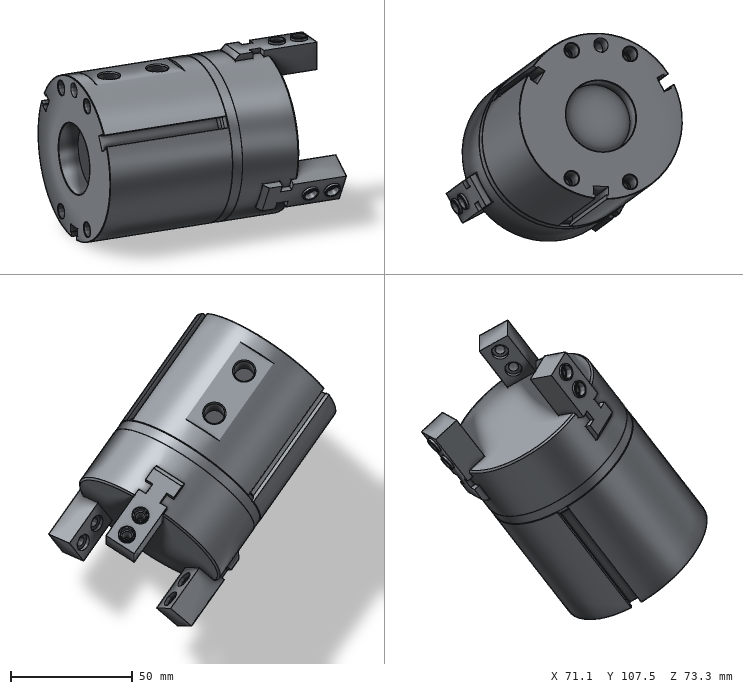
import cadquery as cq
import math

JAW_COUNT = 3
JAW_STEP_ANGLE = 360 / JAW_COUNT

body_radius = 35.0
barrel_length = 56.0
band_end_y = 60.4
band_radius = 69.8 / 2
body_length = 86.4
barrel_chamfer = 0.25
front_chamfer = 0.8

bore_diameter = 30.0
bore_depth = 9.0
bore_chamfer = 0.25
screw_diameter = 6.0
screw_mouth_diameter = 6.6
screw_depth = 10.0
screw_drill_diameter = 5.0
screw_drill_depth = 12.0
screw_offset_x = 12.5
screw_offset_z = 27.0
pin_diameter = 6.0
pin_depth = 8.0
pin_offset_z = 30.0
drill_point_angle = 118.0

pad_z = 34.0
pad_start_y = 6.5
pad_end_y = 46.7
port_diameter = 8.57
port_mouth_diameter = 9.6
port_depth = 10.0
port_positions_y = (16.0, 38.0)

slot_floor_radius = 29.6
slot_lip_radius = 33.0
slot_width = 6.5
slot_neck_width = 5.0
slot_end_gap = 2.5
slot_ramp = 0.8
slot_overcut = 1.0

jaw_tip_y = 107.5
jaw_length = 37.2
jaw_width = 14.0
jaw_bottom_radius = 25.0
jaw_top_radius = 37.0
jaw_neck_width = 7.0
jaw_neck_start = 24.2
jaw_neck_end = 29.2
jaw_chamfer = 2.1
jaw_hole_diameter = 4.13
seat_depth = 1.7
sleeve_spots = (5.0, 15.0)

sleeve_diameter = 7.0
sleeve_bore = 5.4
sleeve_chamfer = 0.25
sleeve_stand_out = 1.3


def box(x_min, x_max, y_min, y_max, z_min, z_max):
    size = (x_max - x_min, y_max - y_min, z_max - z_min)
    return cq.Workplane("XY").box(*size, centered=False).translate((x_min, y_min, z_min))


def around_axis(shape, index):
    return shape.rotate((0, 0, 0), (0, 1, 0), index * JAW_STEP_ANGLE)


def revolved(profile):
    """Solid of revolution about Y from (radius, y) points."""
    return cq.Workplane("XY").polyline(profile).close().revolve(360, (0, 0, 0), (0, 1, 0))


def countersink(hole_diameter, mouth_diameter):
    """45 degree cone opening towards Y = 0."""
    hole_radius = hole_diameter / 2
    mouth_radius = mouth_diameter / 2
    depth = mouth_radius - hole_radius
    return revolved([(0, 0), (mouth_radius, 0), (hole_radius, depth), (0, depth)])


def plain_hole(diameter, depth):
    return revolved([(0, 0), (diameter / 2, 0), (diameter / 2, depth), (0, depth)])


def drilled_hole(diameter, depth):
    """Blind hole along +Y with a conical bottom."""
    radius = diameter / 2
    point_length = radius / math.tan(math.radians(drill_point_angle / 2))
    return revolved([(0, 0), (radius, 0), (radius, depth), (0, depth + point_length)])


def facing_up(hole):
    """Turn a hole along +Y so that it runs along +Z from Z = 0."""
    return hole.rotate((0, 0, 0), (1, 0, 0), 90)


def facing_down(hole):
    """Turn a hole along +Y so that it runs along -Z from Z = 0."""
    return hole.rotate((0, 0, 0), (1, 0, 0), -90)


def make_jaw_blank():
    """Top jaw with its necked foot, without holes."""
    half_width = jaw_width / 2
    half_neck = jaw_neck_width / 2
    tail_y = jaw_tip_y - jaw_length
    neck_front_y = jaw_tip_y - jaw_neck_start
    neck_rear_y = jaw_tip_y - jaw_neck_end
    blank = box(-half_width, half_width, tail_y, jaw_tip_y, jaw_bottom_radius, jaw_top_radius)
    blank = blank.faces("<Y").edges(">Z").chamfer(jaw_chamfer)
    for inner, outer in ((half_neck, half_width), (-half_width, -half_neck)):
        blank = blank.cut(box(inner, outer, neck_rear_y, neck_front_y, jaw_bottom_radius, jaw_top_radius))
    return blank


def make_jaw():
    """Jaw with a sleeve seat on both faces of each screw hole."""
    jaw = make_jaw_blank()
    screw_hole = plain_hole(jaw_hole_diameter, jaw_top_radius - jaw_bottom_radius)
    seat = plain_hole(sleeve_diameter, seat_depth)
    for spot in sleeve_spots:
        y = jaw_tip_y - spot
        jaw = jaw.cut(facing_down(screw_hole).translate((0, y, jaw_top_radius)))
        jaw = jaw.cut(facing_down(seat).translate((0, y, jaw_top_radius)))
        jaw = jaw.cut(facing_up(seat).translate((0, y, jaw_bottom_radius)))
    return jaw


def make_sleeve(spot):
    length = seat_depth + sleeve_stand_out
    sleeve = cq.Workplane("XY").circle(sleeve_diameter / 2).extrude(length)
    sleeve = sleeve.faces(">Z").edges().chamfer(sleeve_chamfer)
    sleeve = sleeve.cut(cq.Workplane("XY").circle(sleeve_bore / 2).extrude(length))
    return sleeve.translate((0, jaw_tip_y - spot, jaw_top_radius - seat_depth))


def make_sensor_slot():
    """T-slot at the bottom; the neck runs on past the slot end, which ramps up to it."""
    end_y = barrel_length - slot_end_gap
    half_neck = slot_neck_width / 2
    outside_z = -body_radius - slot_overcut
    neck_floor_z = -slot_lip_radius - slot_ramp
    wide = box(-slot_width / 2, slot_width / 2, 0, end_y, -slot_lip_radius, -slot_floor_radius)
    neck = (
        cq.Workplane("YZ")
        .polyline([
            (0, outside_z),
            (0, -slot_floor_radius),
            (end_y, -slot_floor_radius),
            (end_y, -slot_lip_radius),
            (end_y + slot_ramp, neck_floor_z),
            (barrel_length, neck_floor_z),
            (barrel_length, outside_z),
        ])
        .close()
        .extrude(half_neck, both=True)
    )
    return neck.union(wide)


def make_body_blank():
    """Round barrel, slightly slimmer band and head."""
    return revolved([
        (0, 0),
        (body_radius - barrel_chamfer, 0),
        (body_radius, barrel_chamfer),
        (body_radius, barrel_length - barrel_chamfer),
        (body_radius - barrel_chamfer, barrel_length),
        (band_radius, barrel_length),
        (band_radius, band_end_y),
        (body_radius, band_end_y),
        (body_radius, body_length - front_chamfer),
        (body_radius - front_chamfer, body_length),
        (0, body_length),
    ])


def cut_port_pad(body):
    body = body.cut(box(-body_radius, body_radius, pad_start_y, pad_end_y, pad_z, body_radius))
    port = plain_hole(port_diameter, port_depth)
    port_countersink = countersink(port_diameter, port_mouth_diameter)
    for y in port_positions_y:
        for cutter in (port, port_countersink):
            body = body.cut(facing_down(cutter).translate((0, y, pad_z)))
    return body


def cut_rear_holes(body):
    body = body.cut(plain_hole(bore_diameter, bore_depth))
    body = body.cut(countersink(bore_diameter, bore_diameter + 2 * bore_chamfer))
    screw_cutters = (
        drilled_hole(screw_drill_diameter, screw_drill_depth),
        plain_hole(screw_diameter, screw_depth),
        countersink(screw_diameter, screw_mouth_diameter),
    )
    for x in (-screw_offset_x, screw_offset_x):
        for z in (-screw_offset_z, screw_offset_z):
            for cutter in screw_cutters:
                body = body.cut(cutter.translate((x, 0, z)))
    return body.cut(drilled_hole(pin_diameter, pin_depth).translate((0, 0, pin_offset_z)))


def make_body():
    body = make_body_blank()
    body = cut_port_pad(body)
    body = cut_rear_holes(body)
    for index in range(JAW_COUNT):
        body = body.cut(around_axis(make_sensor_slot(), index))
        body = body.cut(around_axis(make_jaw_blank(), index))
    return body


body = make_body()
jaws = [around_axis(make_jaw(), index) for index in range(JAW_COUNT)]
sleeves = [
    around_axis(make_sleeve(spot), index)
    for index in range(JAW_COUNT)
    for spot in sleeve_spots
]

result = cq.Compound.makeCompound([part.val() for part in (body, *jaws, *sleeves)])